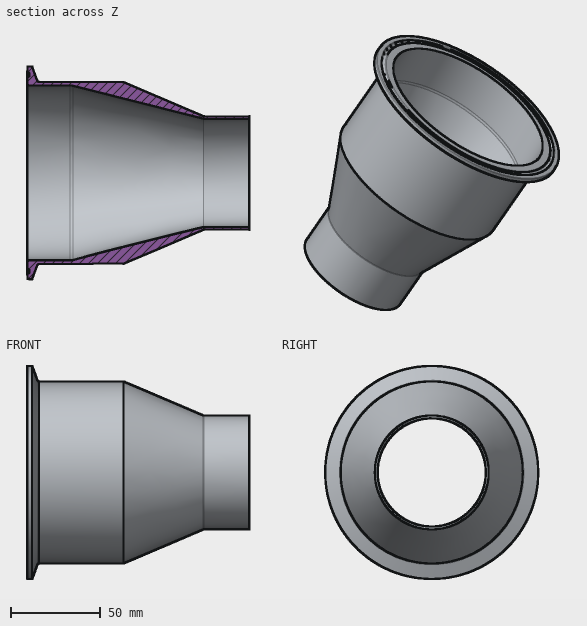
import cadquery as cq
import math

length = 123.8

large_radius = 101.5 / 2
large_bore_radius = 97.3 / 2
small_radius = 63.5 / 2
small_bore_radius = 60.2 / 2

flange_radius = 118.9 / 2
rim_width = 2.8
flange_back_angle = 20.0
rim_fillet = 0.4
neck_fillet = 1.0

groove_mid_radius = 54.9
groove_width = 2.5
groove_depth = 1.2
groove_edge_fillet = 0.5

taper_start = 53.7
taper_end = 98.3
taper_end_fillet = 1.2

bore_taper_start = 24.8
bore_taper_end = taper_end
bore_fillet = 6.2

flange_slope = math.tan(math.radians(flange_back_angle))
neck_x = rim_width + (flange_radius - large_radius) * flange_slope
groove_inner_radius = groove_mid_radius - groove_width / 2
groove_outer_radius = groove_mid_radius + groove_width / 2


def turned_body():
    """Revolve the half section, groove included, about the X axis."""
    return (
        cq.Workplane("XY")
        .moveTo(0, large_bore_radius)
        .lineTo(0, groove_inner_radius)
        .threePointArc((groove_depth, groove_mid_radius), (0, groove_outer_radius))
        .lineTo(0, flange_radius)
        .lineTo(rim_width, flange_radius)
        .lineTo(neck_x, large_radius)
        .lineTo(taper_start, large_radius)
        .lineTo(taper_end, small_radius)
        .lineTo(length, small_radius)
        .lineTo(length, small_bore_radius)
        .lineTo(bore_taper_end, small_bore_radius)
        .lineTo(bore_taper_start, large_bore_radius)
        .close()
        .revolve(360, (0, 0, 0), (1, 0, 0))
    )


def fillet_ring(body, x, ring_radius, fillet_radius):
    """Round the circular edge of the given radius that lies at station x."""
    tolerance = 0.01

    def is_ring(edge):
        return (
            edge.geomType() == "CIRCLE"
            and abs(edge.Center().x - x) < tolerance
            and abs(edge.radius() - ring_radius) < tolerance
        )

    rings = [edge for edge in body.edges().vals() if is_ring(edge)]
    return body.newObject(rings).fillet(fillet_radius)


fillets = [
    (0, flange_radius, rim_fillet),
    (rim_width, flange_radius, rim_fillet),
    (neck_x, large_radius, neck_fillet),
    (0, groove_inner_radius, groove_edge_fillet),
    (0, groove_outer_radius, groove_edge_fillet),
    (taper_end, small_radius, taper_end_fillet),
    (bore_taper_start, large_bore_radius, bore_fillet),
]

result = turned_body()
for ring_x, ring_radius, fillet_radius in fillets:
    result = fillet_ring(result, ring_x, ring_radius, fillet_radius)